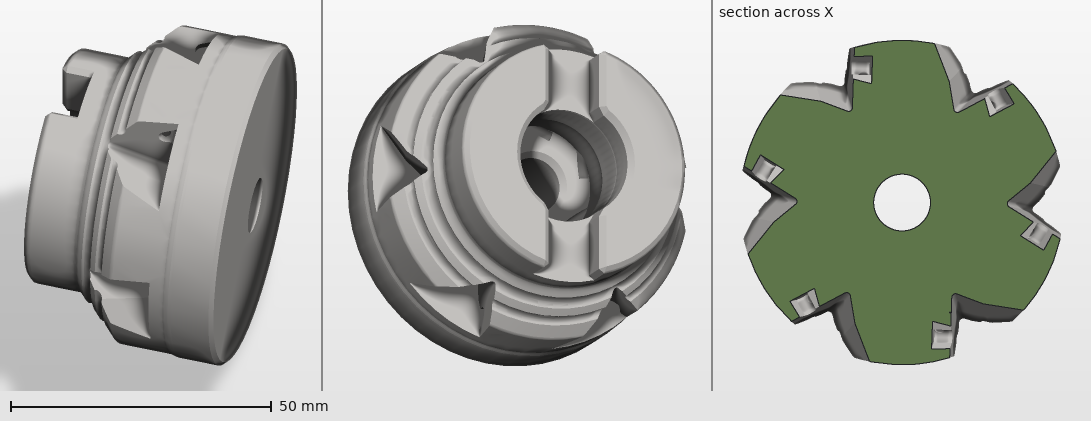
import math

import cadquery as cq

LENGTH = 40.0

HUB_RADIUS = 23.0
HUB_LENGTH = 10.5
HUB_FOOT_BLEND = 0.8

EDGE_REACH = 0.1

STEP_CONES = [
    (HUB_LENGTH, HUB_RADIUS, 1.65),
    (14.3, 26.3, 1.2),
    (17.2, 28.9, 2.25),
]
ARC_HALF_ANGLE = math.radians(45)
GROOVE_LIP_LENGTH = 0.5
GROOVE_LIP_DROP = 0.1
HEAD_EDGE_BLEND = 1.0

HEAD_RADIUS = STEP_CONES[-1][1] + STEP_CONES[-1][2]
RIM_RADIUS = 31.505
RIM_START = 30.0
RIM_CONE_LENGTH = 0.6
RIM_BLEND_LENGTH = 1.1
RIM_CONE_RISE = 0.2
RIM_BLEND_DROP = 0.03
RIM_END_CHAMFER = 0.8

BORE_RADIUS = 11.0
BORE_DEPTH = 21.0
BORE_MOUTH_CLEARANCE = 0.05
BORE_MOUTH_LENGTH = 6.6
BORE_MOUTH_TAPER = 0.35
BORE_RELIEF_START = 14.0
BORE_RELIEF_TAPER = 1.0
BORE_RELIEF = 0.3
SCREW_HOLE_RADIUS = 5.4
SCREW_HOLE_CHAMFER = 1.1

SLOT_WIDTH = 10.4
SLOT_DEPTH = 6.4
KEY_CHAMFER = 1.1
KEY_CHAMFER_BLEND = 1.0

POCKET_COUNT = 6
POCKET_END_X = 27.2
POCKET_RUN = 17.0
POCKET_RADIAL_SLOPE = 0.39
POCKET_TANGENTIAL_SLOPE = 0.09
POCKET_APEX = (19.4, 0.22)
POCKET_SEAT_SLOPE = 0.625
POCKET_FLANK_BEND = (24.3, -3.8)
POCKET_FLANK_SLOPE = -1.24
POCKET_OUTER = 37.0
POCKET_ROOT_RADIUS = 0.7

RECESS_CENTER = (24.7, 27.1)
RECESS_CORNER_RADIUS = 1.3
RECESS_DEPTH = 3.5
RECESS_OUTER_SIDE_ANGLE = 24.0
RECESS_INNER_SIDE_ANGLE = 60.0
RECESS_INNER_BEND = 1.25
RECESS_REACH = 4.0

COOLANT_RADIUS = 1.0
COOLANT_INLET_RADIUS = 10.4
COOLANT_INLET_ANGLE = -40.0
COOLANT_INLET_OVERRUN = 1.5
COOLANT_OUTLET_DEPTH = 2.5


def cone_end(cone):
    start_x, start_radius, rise = cone
    return start_x + rise, start_radius + rise


def outer_profile():
    """Half section of the solid body, from the axis around to the axis."""
    profile = cq.Workplane("XY").moveTo(0, 0).lineTo(0, HUB_RADIUS)
    for index, cone in enumerate(STEP_CONES):
        start_x, start_radius, _ = cone
        if index > 0:
            crest_x, crest_radius = cone_end(STEP_CONES[index - 1])
            lip_x = crest_x + GROOVE_LIP_LENGTH
            floor_radius = crest_radius - GROOVE_LIP_DROP
            arc_radius = start_x - lip_x
            arc_middle = (
                lip_x + arc_radius * math.sin(ARC_HALF_ANGLE),
                floor_radius + arc_radius * (1 - math.cos(ARC_HALF_ANGLE)),
            )
            wall_foot = (start_x, floor_radius + arc_radius)
            profile = profile.lineTo(lip_x, floor_radius).threePointArc(arc_middle, wall_foot)
        profile = profile.lineTo(start_x, start_radius).lineTo(*cone_end(cone))
    return (
        profile.lineTo(RIM_START, HEAD_RADIUS)
        .lineTo(RIM_START + RIM_CONE_LENGTH, HEAD_RADIUS + RIM_CONE_RISE)
        .lineTo(RIM_START + RIM_BLEND_LENGTH, RIM_RADIUS - RIM_BLEND_DROP)
        .lineTo(RIM_START + RIM_BLEND_LENGTH + RIM_CONE_LENGTH, RIM_RADIUS)
        .lineTo(LENGTH - RIM_END_CHAMFER, RIM_RADIUS)
        .lineTo(LENGTH, RIM_RADIUS - RIM_END_CHAMFER)
        .lineTo(LENGTH, 0)
        .close()
    )


def revolve_about_x(profile):
    return profile.revolve(360, (0, 0, 0), (1, 0, 0))


def bore():
    """Stepped bore with a relieved inner end and a chamfered screw hole in its floor."""
    mouth_radius = BORE_RADIUS + BORE_MOUTH_CLEARANCE
    relief_radius = BORE_RADIUS + BORE_RELIEF
    profile = (
        cq.Workplane("XY")
        .moveTo(0, 0)
        .lineTo(0, mouth_radius)
        .lineTo(BORE_MOUTH_LENGTH, mouth_radius)
        .lineTo(BORE_MOUTH_LENGTH + BORE_MOUTH_TAPER, BORE_RADIUS)
        .lineTo(BORE_RELIEF_START, BORE_RADIUS)
        .lineTo(BORE_RELIEF_START + BORE_RELIEF_TAPER, relief_radius)
        .lineTo(BORE_DEPTH, relief_radius)
        .lineTo(BORE_DEPTH, SCREW_HOLE_RADIUS + SCREW_HOLE_CHAMFER)
        .lineTo(BORE_DEPTH + SCREW_HOLE_CHAMFER, SCREW_HOLE_RADIUS)
        .lineTo(LENGTH, SCREW_HOLE_RADIUS)
        .lineTo(LENGTH, 0)
        .close()
    )
    return revolve_about_x(profile)


def drive_slot():
    slot_length = 2 * RIM_RADIUS
    return cq.Workplane("XY").box(2 * SLOT_DEPTH, SLOT_WIDTH, slot_length)


def insert_pocket():
    """V groove for the insert on the -Y side: radial is -Y, tangential is +Z."""
    apex_radial, apex_tangential = POCKET_APEX
    bend_radial, bend_tangential = POCKET_FLANK_BEND
    seat_rise = POCKET_SEAT_SLOPE * (POCKET_OUTER - apex_radial)
    flank_rise = POCKET_FLANK_SLOPE * (POCKET_OUTER - bend_radial)
    section = [
        POCKET_APEX,
        (POCKET_OUTER, apex_tangential + seat_rise),
        (POCKET_OUTER, bend_tangential + flank_rise),
        POCKET_FLANK_BEND,
    ]
    corners = [cq.Vector(POCKET_END_X, -radial, tangential) for radial, tangential in section]
    outline = cq.Wire.makePolygon(corners, close=True)
    climb = cq.Vector(-1, -POCKET_RADIAL_SLOPE, POCKET_TANGENTIAL_SLOPE) * POCKET_RUN
    groove = cq.Workplane(cq.Solid.extrudeLinear(outline, [], climb))
    root_middle = corners[0] + climb / 2
    root = cq.selectors.NearestToPointSelector(root_middle.toTuple())
    return groove.edges(root).fillet(POCKET_ROOT_RADIUS)


def seat_plane():
    """Plane of the insert seat: local x toward the pocket end, y outward, z out of the metal."""
    along = cq.Vector(1, POCKET_RADIAL_SLOPE, -POCKET_TANGENTIAL_SLOPE)
    outward = cq.Vector(0, -1, POCKET_SEAT_SLOPE)
    normal = along.cross(outward)
    center_x, center_radial = RECESS_CENTER
    apex_radial, apex_tangential = POCKET_APEX
    setback = POCKET_END_X - center_x
    seat_radial = center_radial - POCKET_RADIAL_SLOPE * setback
    center_tangential = (
        apex_tangential
        + POCKET_SEAT_SLOPE * (seat_radial - apex_radial)
        + POCKET_TANGENTIAL_SLOPE * setback
    )
    origin = (center_x, -center_radial, center_tangential)
    return cq.Plane(origin=origin, xDir=outward.cross(normal), normal=normal)


def seat_recess():
    """Flat-bottomed recess in the seat that stops at the pocket end plane."""
    radius = RECESS_CORNER_RADIUS
    outer_angle = math.radians(RECESS_OUTER_SIDE_ANGLE)
    inner_angle = math.radians(RECESS_INNER_SIDE_ANGLE)
    tangent_x = -radius * math.sin(outer_angle)
    tangent_y = radius * math.cos(outer_angle)
    outer_y = tangent_y + (RECESS_REACH - tangent_x) * math.tan(outer_angle)
    inner_y = -radius - (RECESS_REACH - RECESS_INNER_BEND) * math.tan(inner_angle)
    recess = (
        cq.Workplane(seat_plane())
        .moveTo(tangent_x, tangent_y)
        .threePointArc((-radius, 0), (0, -radius))
        .lineTo(RECESS_INNER_BEND, -radius)
        .lineTo(RECESS_REACH, inner_y)
        .lineTo(RECESS_REACH, outer_y)
        .close()
        .extrude(-RECESS_DEPTH)
    )
    width = 2 * RIM_RADIUS
    before_end = cq.Workplane("XY").box(POCKET_END_X, width, width, centered=(False, True, True))
    return recess.intersect(before_end)


def coolant_hole():
    """Drilled hole from the bore floor, under the insert seat, into its recess."""
    inlet_angle = math.radians(COOLANT_INLET_ANGLE)
    inlet = cq.Vector(
        BORE_DEPTH,
        -COOLANT_INLET_RADIUS * math.cos(inlet_angle),
        COOLANT_INLET_RADIUS * math.sin(inlet_angle),
    )
    outlet = seat_plane().toWorldCoords((0, 0, -COOLANT_OUTLET_DEPTH))
    path = outlet - inlet
    direction = path.normalized()
    start = inlet - direction * COOLANT_INLET_OVERRUN
    drilled_length = path.Length + COOLANT_INLET_OVERRUN
    return cq.Workplane(cq.Solid.makeCylinder(COOLANT_RADIUS, drilled_length, start, direction))


def around_axis(feature):
    """Copies of a feature spaced evenly about the X axis."""
    pitch = 360 / POCKET_COUNT
    return [feature.rotate((0, 0, 0), (1, 0, 0), index * pitch) for index in range(POCKET_COUNT)]


def circle_at(x, radius):
    """Selector for the edges that lie in a thin slab at x, within a radius of the axis."""
    return cq.selectors.BoxSelector(
        (x - EDGE_REACH, -radius - EDGE_REACH, -radius - EDGE_REACH),
        (x + EDGE_REACH, radius + EDGE_REACH, radius + EDGE_REACH),
        boundingbox=True,
    )


def turned_body():
    """Solid of revolution with the foot of the hub and the edge of the head rounded."""
    body = revolve_about_x(outer_profile())
    body = body.edges(circle_at(HUB_LENGTH, HUB_RADIUS)).fillet(HUB_FOOT_BLEND)
    return body.edges(circle_at(*cone_end(STEP_CONES[-1]))).fillet(HEAD_EDGE_BLEND)


def bevel_drive_keys(body):
    """Bevel the edges of both key faces and slot walls, then round the outer bevel."""
    reach = HUB_RADIUS + EDGE_REACH
    key_edges = cq.selectors.BoxSelector(
        (-EDGE_REACH, -reach, -reach),
        (SLOT_DEPTH - EDGE_REACH, reach, reach),
    )
    body = body.edges(key_edges).chamfer(KEY_CHAMFER)
    rim_selector = cq.selectors.RadiusNthSelector(-1)
    rim_arcs = body.edges(circle_at(KEY_CHAMFER, HUB_RADIUS)).edges("%CIRCLE").edges(rim_selector)
    return rim_arcs.fillet(KEY_CHAMFER_BLEND)


body = turned_body().cut(bore()).cut(drive_slot())
body = bevel_drive_keys(body)
for feature in (insert_pocket(), seat_recess(), coolant_hole()):
    for copy in around_axis(feature):
        body = body.cut(copy)
result = body